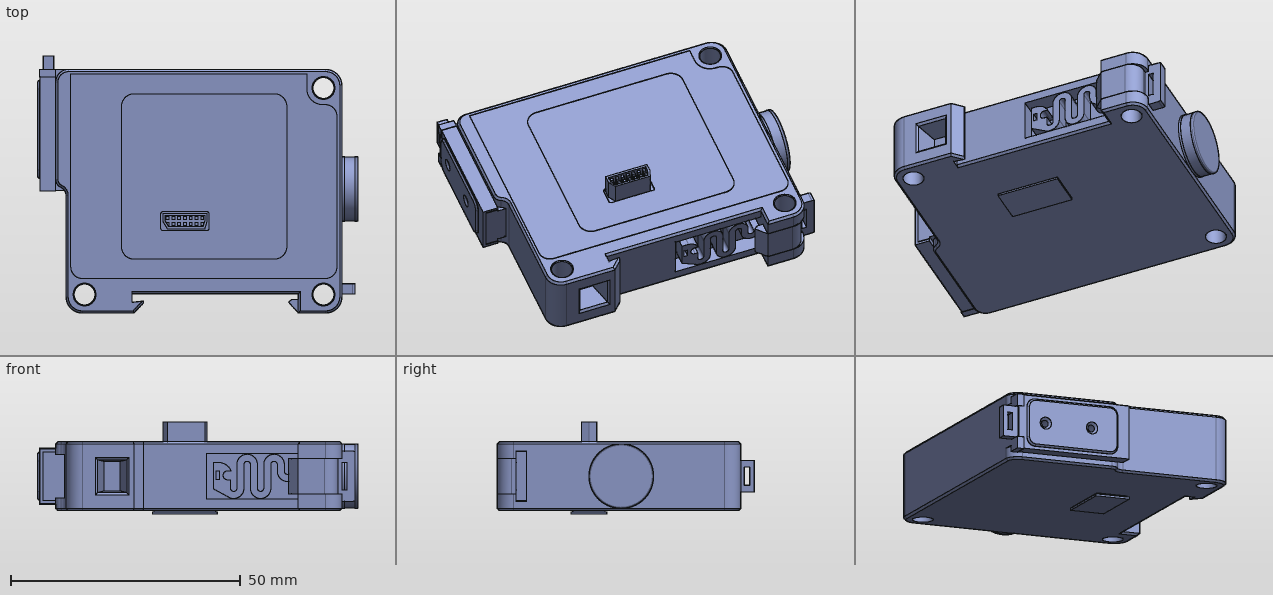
import cadquery as cq
import math

HOUSING_LENGTH = 60.1
HOUSING_WIDTH = 53.05
HOUSING_HEIGHT = 15.0
MID_HEIGHT = HOUSING_HEIGHT / 2
CORNER_RADIUS = 3.55
EDGE_CHAMFER = 0.5

CHANNEL_LEFT = 14.4
CHANNEL_RIGHT = 50.55
CHANNEL_DEPTH = 4.2
HOOK_TIP_X = 16.9
HOOK_BASE_X = 14.8
HOOK_TIP_Y = 2.15
HOOK_TOP_Y = 2.65
HOOK_ROOT_Y = 2.4

HOLE_DIAMETER = 4.55
HOLE_INSET = 4.05
HOLE_CHAMFER = 0.2
HOLE_CHAMFER_ANGLE = 45

RECESS_DEPTH = 0.15
LID_LEFT = 1.05
LID_RIGHT = 59.0
LID_FRONT = 7.55
LID_BACK = 52.0
LID_CORNER_RADIUS = 2.5
LID_NOTCH_LEFT = 52.4
LID_NOTCH_FRONT = 45.4
LID_NOTCH_RADIUS = 3.5
LABEL_SIZE = 36.0
LABEL_CENTER = (30.1, 29.7)
LABEL_RADIUS = 2.8

HEADER_LEFT = 21.1
HEADER_RIGHT = 30.7
HEADER_FRONT = 18.35
HEADER_BACK = 21.7
HEADER_TOP = 19.3
HEADER_BEVEL_Y = 19.95
HEADER_BEVEL_LEFT = 1.0
HEADER_BEVEL_RIGHT = 0.5
HEADER_WALL = 0.5
HEADER_CAVITY_DEPTH = 2.1
HEADER_OPENING = (10.55, 4.1)
HEADER_OPENING_DEPTH = 0.7
CONTACT_COLUMNS = 7
CONTACT_ROWS = 2
CONTACT_PITCH = 1.25
CONTACT_SIZE = 0.6
CONTACT_SETBACK = 0.2

LIP_REACH = 2.2
LIP_GAP_FLOOR = 1.05
LIP_THICKNESS = 2.8
LIP_FRONT = 25.6
LIP_RISE = 3.5
LIP_CORNER_RADIUS = 2.8
BLOCK_LEFT = -5.65
BLOCK_ROOT = 1.4
BLOCK_FRONT = 26.5
BLOCK_BACK = 51.45
BLOCK_HEIGHT = 11.95
BLOCK_PANEL_BORDER = 0.7
BLOCK_PANEL_DEPTH = 0.15
PAD_THICKNESS = 0.55
PAD_LENGTH = 21.5
PAD_HEIGHT = 10.6
PAD_CENTER_Y = 40.0
PAD_RADIUS = 1.95
PAD_CHAMFER = 0.4
TERMINAL_Y = (35.5, 46.5)
TERMINAL_DIAMETER = 1.55
TERMINAL_COUNTERSINK = 2.65
TERMINAL_SINK_ANGLE = 90
TERMINAL_DEPTH = 3.5

END_PLATE_MARGIN = 0.15
TAB_NOTCH_DEPTH = 0.5
TAB_HEIGHT = 6.9
TAB_LEFT = -4.95
TAB_RIGHT = -2.65
TAB_BACK = 56.0
TAB_WINDOW_LENGTH = 1.1
TAB_WINDOW_HEIGHT = 3.9
TAB_WINDOW_Y = 54.4

SOCKET_CENTER_X = 10.05
SOCKET_MOUTH = (7.25, 8.25)
SOCKET_THROAT = (6.4, 7.1)
SOCKET_FLOOR = (3.5, 6.4)
SOCKET_MOUTH_DEPTH = 0.4
SOCKET_DEPTH = 5.6

POCKET_LEFT = 30.6
POCKET_HEIGHT = 10.0
POCKET_DEPTH = 3.5
FOOT_HEIGHT = 7.7
FOOT_RIGHT = 59.25
FOOT_CORNER_RADIUS = 3.0
FOOT_SETBACK = 0.1
FOOT_TIP_X = 48.45
FOOT_TIP_Y = 2.4
FOOT_BEVEL_X = 49.15
FOOT_BEVEL_Y = 3.0
FOOT_GRIP_FRONT = 4.1
FOOT_GRIP_BACK = 6.4
FOOT_GRIP_RIGHT = 62.95
FOOT_GRIP_HEIGHT = 10.95
FOOT_GRIP_BEVEL_RUN = 0.55
FOOT_GRIP_BEVEL_DROP = 0.15
FOOT_SLOT_RIGHT = 61.15
FOOT_SLOT_HEIGHT = 5.9

SPRING_THICKNESS = 1.55
SPRING_FIRST_LEG_X = 38.0
SPRING_LEGS = 4
SPRING_PITCH = 2.9
SPRING_LEG_BOTTOM = 4.9
SPRING_LEG_TOP = 10.05
SPRING_END_Z = 8.6
ANCHOR_LEFT = 32.1
ANCHOR_TOP = 10.5
ANCHOR_BOTTOM = 4.75
ANCHOR_SLOPE = 25
ANCHOR_HOOK_X = 35.95
ANCHOR_HOOK_Z = 8.65
ANCHOR_MOUTH_DIAMETER = 1.95
ANCHOR_MOUTH_X = 35.2
ANCHOR_SLOT_X = 33.0
ANCHOR_SLOT_SIZE = (0.8, 1.8)

KNOB_DIAMETER = 14.1
KNOB_LENGTH = 3.5
KNOB_CENTER_Y = 27.0
KNOB_RIM_RADIUS = 0.3
KNOB_BAND_START = 0.5
KNOB_BAND_END = 2.8
KNOB_BAND_DEPTH = 0.1

BOTTOM_PLATE_SIZE = (14.2, 7.8)
BOTTOM_PLATE_CENTER = (25.9, 19.95)
BOTTOM_PLATE_DROP = 0.8
BOTTOM_PLATE_THICKNESS = 0.5
BOTTOM_PLATE_NECK_INSET = 0.35

OVERLAP = 0.35


def box(x0, x1, y0, y1, z0, z1):
    """Axis-aligned box between opposite corners."""
    return cq.Workplane("XY").box(x1 - x0, y1 - y0, z1 - z0, centered=False).translate((x0, y0, z0))


def mid_box(x0, x1, y0, y1, height):
    """Box of the given height, centred on the housing's mid height."""
    return box(x0, x1, y0, y1, MID_HEIGHT - height / 2, MID_HEIGHT + height / 2)


def housing():
    """Main case with the rail channel and the lips around the terminal block."""
    body = (
        cq.Workplane("XY")
        .moveTo(0, 0)
        .lineTo(HOOK_BASE_X, 0)
        .lineTo(HOOK_TIP_X, HOOK_TIP_Y)
        .lineTo(HOOK_TIP_X, HOOK_TOP_Y)
        .lineTo(CHANNEL_LEFT, HOOK_ROOT_Y)
        .lineTo(CHANNEL_LEFT, CHANNEL_DEPTH)
        .lineTo(CHANNEL_RIGHT, CHANNEL_DEPTH)
        .lineTo(CHANNEL_RIGHT, 0)
        .lineTo(HOUSING_LENGTH, 0)
        .lineTo(HOUSING_LENGTH, HOUSING_WIDTH)
        .lineTo(-LIP_REACH, HOUSING_WIDTH)
        .lineTo(-LIP_REACH, LIP_FRONT + LIP_RISE)
        .tangentArcPoint((LIP_REACH / 2, -LIP_RISE / 2))
        .tangentArcPoint((LIP_REACH / 2, -LIP_RISE / 2))
        .close()
        .extrude(HOUSING_HEIGHT)
    )
    for x, y in ((0, 0), (HOUSING_LENGTH, 0), (HOUSING_LENGTH, HOUSING_WIDTH)):
        body = body.edges(cq.selectors.NearestToPointSelector((x, y, MID_HEIGHT))).fillet(CORNER_RADIUS)
    lip_corner = (-LIP_REACH, HOUSING_WIDTH, MID_HEIGHT)
    body = body.edges(cq.selectors.NearestToPointSelector(lip_corner)).fillet(LIP_CORNER_RADIUS)
    hook_end = cq.selectors.BoxSelector(
        (CHANNEL_LEFT - OVERLAP, HOOK_TIP_Y, -OVERLAP),
        (HOOK_TIP_X + OVERLAP, CHANNEL_DEPTH - OVERLAP, HOUSING_HEIGHT + OVERLAP),
    )
    rims = body.faces("<Z or >Z").edges()
    sharp = rims.edges(hook_end).vals()
    body = body.newObject([edge for edge in rims.vals() if edge not in sharp]).chamfer(EDGE_CHAMFER)
    lip_gap = mid_box(-LIP_REACH, -LIP_GAP_FLOOR, 0, HOUSING_WIDTH, HOUSING_HEIGHT - 2 * LIP_THICKNESS)
    return body.cut(lip_gap)


def cut_top_recesses(body):
    """Lid recess around the rear right hole and the rounded label recess inside it."""
    lid = (
        cq.Workplane("XY", origin=(0, 0, HOUSING_HEIGHT - RECESS_DEPTH))
        .moveTo(LID_LEFT, LID_BACK)
        .lineTo(LID_NOTCH_LEFT, LID_BACK)
        .lineTo(LID_NOTCH_LEFT, LID_NOTCH_FRONT)
        .lineTo(LID_RIGHT, LID_NOTCH_FRONT)
        .lineTo(LID_RIGHT, LID_FRONT)
        .lineTo(LID_LEFT, LID_FRONT)
        .close()
        .extrude(RECESS_DEPTH)
    )
    notch_corner = (LID_NOTCH_LEFT, LID_NOTCH_FRONT, HOUSING_HEIGHT)
    lid = lid.edges("|Z").edges(cq.selectors.NearestToPointSelector(notch_corner)).fillet(LID_NOTCH_RADIUS)
    for x, y in ((LID_RIGHT, LID_NOTCH_FRONT), (LID_RIGHT, LID_FRONT), (LID_LEFT, LID_FRONT)):
        corner = cq.selectors.NearestToPointSelector((x, y, HOUSING_HEIGHT))
        lid = lid.edges("|Z").edges(corner).fillet(LID_CORNER_RADIUS)
    label = (
        cq.Workplane("XY", origin=(*LABEL_CENTER, HOUSING_HEIGHT - 2 * RECESS_DEPTH))
        .rect(LABEL_SIZE, LABEL_SIZE)
        .extrude(RECESS_DEPTH)
        .edges("|Z")
        .fillet(LABEL_RADIUS)
    )
    return body.cut(lid).cut(label)


def mounting_holes():
    """Cutters for the through holes, widened by a small chamfer at the top."""
    right = HOUSING_LENGTH - HOLE_INSET
    points = ((HOLE_INSET, HOLE_INSET), (right, HOLE_INSET), (right, HOUSING_WIDTH - HOLE_INSET))
    bore = cq.Workplane("XY").pushPoints(points).circle(HOLE_DIAMETER / 2).extrude(HOUSING_HEIGHT)
    rim = (
        cq.Workplane("XY", origin=(0, 0, HOUSING_HEIGHT))
        .pushPoints(points)
        .circle(HOLE_DIAMETER / 2 + HOLE_CHAMFER)
        .extrude(-HOLE_CHAMFER, taper=HOLE_CHAMFER_ANGLE)
    )
    return bore.union(rim)


def header_outline(z):
    """Header outline at height z, with its two front corners bevelled."""
    return (
        cq.Workplane("XY", origin=(0, 0, z))
        .moveTo(HEADER_LEFT, HEADER_BACK)
        .lineTo(HEADER_RIGHT, HEADER_BACK)
        .lineTo(HEADER_RIGHT, HEADER_BEVEL_Y)
        .lineTo(HEADER_RIGHT - HEADER_BEVEL_RIGHT, HEADER_FRONT)
        .lineTo(HEADER_LEFT + HEADER_BEVEL_LEFT, HEADER_FRONT)
        .lineTo(HEADER_LEFT, HEADER_BEVEL_Y)
        .close()
    )


def add_header(body):
    """Open-topped header with two rows of contacts, standing in a shallow opening."""
    center_x = (HEADER_LEFT + HEADER_RIGHT) / 2
    center_y = (HEADER_FRONT + HEADER_BACK) / 2
    floor = HOUSING_HEIGHT - HEADER_OPENING_DEPTH
    opening = (
        cq.Workplane("XY", origin=(center_x, center_y, floor))
        .rect(*HEADER_OPENING)
        .extrude(HEADER_OPENING_DEPTH)
        .edges("|Z")
        .fillet(HEADER_WALL)
    )
    shell = header_outline(floor - OVERLAP).extrude(HEADER_TOP - floor + OVERLAP)
    cavity = header_outline(HEADER_TOP).offset2D(-HEADER_WALL).extrude(-HEADER_CAVITY_DEPTH)
    contacts = (
        cq.Workplane("XY", origin=(center_x, center_y, HEADER_TOP - HEADER_CAVITY_DEPTH - OVERLAP))
        .rarray(CONTACT_PITCH, CONTACT_PITCH, CONTACT_COLUMNS, CONTACT_ROWS)
        .rect(CONTACT_SIZE, CONTACT_SIZE)
        .extrude(HEADER_CAVITY_DEPTH + OVERLAP - CONTACT_SETBACK)
    )
    return body.cut(opening).union(shell.cut(cavity)).union(contacts)


def terminal_block():
    """Block with a raised pad, two terminals and a framed front end."""
    block = mid_box(BLOCK_LEFT, -LIP_REACH, BLOCK_FRONT, BLOCK_BACK, BLOCK_HEIGHT)
    root_height = HOUSING_HEIGHT - 2 * LIP_THICKNESS
    block = block.union(
        mid_box(
            -LIP_REACH,
            BLOCK_ROOT,
            BLOCK_FRONT + BLOCK_PANEL_DEPTH,
            BLOCK_BACK,
            root_height,
        )
    )
    panel = mid_box(
        BLOCK_LEFT + BLOCK_PANEL_BORDER,
        -LIP_REACH,
        BLOCK_FRONT,
        BLOCK_FRONT + BLOCK_PANEL_DEPTH,
        BLOCK_HEIGHT - 2 * BLOCK_PANEL_BORDER,
    )
    pad = (
        cq.Workplane("YZ", origin=(BLOCK_LEFT, PAD_CENTER_Y, MID_HEIGHT))
        .rect(PAD_LENGTH, PAD_HEIGHT)
        .extrude(-PAD_THICKNESS)
        .edges("|X")
        .fillet(PAD_RADIUS)
        .faces("<X")
        .edges()
        .chamfer(PAD_CHAMFER)
    )
    block = block.cut(panel).union(pad)
    for y in TERMINAL_Y:
        block = (
            block.faces("<X")
            .workplane(origin=(BLOCK_LEFT - PAD_THICKNESS, y, MID_HEIGHT))
            .cskHole(TERMINAL_DIAMETER, TERMINAL_COUNTERSINK, TERMINAL_SINK_ANGLE, TERMINAL_DEPTH)
        )
    return block


def pull_tab():
    """End plate behind the terminal block, with a windowed tab set in its notch."""
    plate = mid_box(
        BLOCK_LEFT - END_PLATE_MARGIN,
        -LIP_REACH,
        BLOCK_BACK,
        HOUSING_WIDTH,
        BLOCK_HEIGHT + 2 * END_PLATE_MARGIN,
    )
    plate = plate.union(
        mid_box(-LIP_REACH, BLOCK_ROOT, BLOCK_BACK, HOUSING_WIDTH, HOUSING_HEIGHT - 2 * LIP_THICKNESS)
    )
    notch_front = HOUSING_WIDTH - TAB_NOTCH_DEPTH
    notch = mid_box(BLOCK_LEFT - END_PLATE_MARGIN, TAB_LEFT, notch_front, HOUSING_WIDTH, TAB_HEIGHT)
    face_relief = mid_box(BLOCK_LEFT - END_PLATE_MARGIN, BLOCK_LEFT, BLOCK_BACK, HOUSING_WIDTH, TAB_HEIGHT)
    tab = mid_box(TAB_LEFT, TAB_RIGHT, BLOCK_BACK, TAB_BACK, TAB_HEIGHT)
    window = mid_box(
        TAB_LEFT,
        TAB_RIGHT,
        TAB_WINDOW_Y - TAB_WINDOW_LENGTH / 2,
        TAB_WINDOW_Y + TAB_WINDOW_LENGTH / 2,
        TAB_WINDOW_HEIGHT,
    )
    return plate.cut(notch).cut(face_relief).union(tab.cut(window))


def socket():
    """Cutter for the socket in the left foot: a bevelled mouth leading into a taper."""
    plane = cq.Workplane("XZ", origin=(SOCKET_CENTER_X, 0, MID_HEIGHT))
    mouth = (
        plane.rect(*SOCKET_MOUTH)
        .workplane(offset=-SOCKET_MOUTH_DEPTH)
        .rect(*SOCKET_THROAT)
        .loft(ruled=True)
    )
    taper = (
        plane.workplane(offset=-SOCKET_MOUTH_DEPTH)
        .rect(*SOCKET_THROAT)
        .workplane(offset=SOCKET_MOUTH_DEPTH - SOCKET_DEPTH)
        .rect(*SOCKET_FLOOR)
        .loft(ruled=True)
    )
    return mouth.union(taper)


def spring():
    """Flat serpentine spring with its anchor, lying in the front pocket."""
    mid_radius = SPRING_PITCH / 2
    inner = mid_radius - SPRING_THICKNESS / 2
    outer = mid_radius + SPRING_THICKNESS / 2
    plane = cq.Workplane("XZ", origin=(0, CHANNEL_DEPTH + POCKET_DEPTH + OVERLAP, 0))
    length = POCKET_DEPTH + OVERLAP

    def bar(center_x, bottom, top):
        center = (center_x, (bottom + top) / 2)
        return plane.center(*center).rect(SPRING_THICKNESS, top - bottom).extrude(length)

    def bend(center_x, center_z, upward):
        ring = plane.center(center_x, center_z).circle(outer).circle(inner).extrude(length)
        side = outer / 2 if upward else -outer / 2
        half = plane.center(center_x, center_z + side).rect(2 * outer, outer).extrude(length)
        return ring.intersect(half)

    legs = [SPRING_FIRST_LEG_X + SPRING_PITCH * i for i in range(SPRING_LEGS)]
    body = bar(legs[0], SPRING_LEG_BOTTOM, SPRING_LEG_TOP)
    for x in legs[1:-1]:
        body = body.union(bar(x, SPRING_LEG_BOTTOM, SPRING_LEG_TOP))
    body = body.union(bar(legs[-1], SPRING_END_Z, SPRING_LEG_TOP))
    for i, z in enumerate((SPRING_LEG_TOP, SPRING_LEG_BOTTOM, SPRING_LEG_TOP)):
        body = body.union(bend(legs[i] + mid_radius, z, i % 2 == 0))
    body = body.union(bend(legs[0] - mid_radius, SPRING_LEG_BOTTOM, False))
    body = body.union(bend(legs[-1] + mid_radius, SPRING_END_Z, False))

    bend_x = legs[0] - mid_radius
    slope = math.radians(ANCHOR_SLOPE)
    tangent_x = bend_x - outer * math.sin(slope)
    tangent_z = SPRING_LEG_BOTTOM - outer * math.cos(slope)
    anchor = (
        plane.moveTo(ANCHOR_LEFT, ANCHOR_BOTTOM)
        .lineTo(ANCHOR_LEFT, ANCHOR_TOP)
        .lineTo(ANCHOR_LEFT + SPRING_THICKNESS, ANCHOR_TOP)
        .radiusArc((ANCHOR_HOOK_X, ANCHOR_HOOK_Z), 2 * SPRING_THICKNESS)
        .lineTo(ANCHOR_HOOK_X, ANCHOR_HOOK_Z - ANCHOR_MOUTH_DIAMETER)
        .lineTo(bend_x - inner, ANCHOR_HOOK_Z - ANCHOR_MOUTH_DIAMETER)
        .lineTo(bend_x - inner, SPRING_LEG_BOTTOM)
        .lineTo(tangent_x, tangent_z)
        .close()
        .extrude(length)
    )
    mouth_z = ANCHOR_HOOK_Z - ANCHOR_MOUTH_DIAMETER / 2
    mouth = plane.center(ANCHOR_MOUTH_X, mouth_z).circle(ANCHOR_MOUTH_DIAMETER / 2).extrude(length)
    mouth_exit = (
        plane.center(ANCHOR_HOOK_X, mouth_z)
        .rect(2 * (ANCHOR_HOOK_X - ANCHOR_MOUTH_X), ANCHOR_MOUTH_DIAMETER)
        .extrude(length)
    )
    slot = plane.center(ANCHOR_SLOT_X, mouth_z).rect(*ANCHOR_SLOT_SIZE).extrude(length)
    return body.union(anchor.cut(mouth).cut(mouth_exit).cut(slot))


def sliding_foot():
    """Movable rail foot with its hook and the grip standing out of the right wall."""
    foot = (
        cq.Workplane("XY", origin=(0, 0, MID_HEIGHT - FOOT_HEIGHT / 2))
        .moveTo(CHANNEL_RIGHT, FOOT_SETBACK)
        .lineTo(FOOT_RIGHT, FOOT_SETBACK)
        .lineTo(FOOT_RIGHT, FOOT_GRIP_BACK)
        .lineTo(CHANNEL_RIGHT, FOOT_GRIP_BACK)
        .lineTo(CHANNEL_RIGHT, FOOT_BEVEL_Y)
        .lineTo(FOOT_BEVEL_X, FOOT_BEVEL_Y)
        .lineTo(FOOT_TIP_X, FOOT_TIP_Y)
        .close()
        .extrude(FOOT_HEIGHT)
    )
    outer_corner = cq.selectors.NearestToPointSelector((FOOT_RIGHT, FOOT_SETBACK, MID_HEIGHT))
    foot = foot.edges("|Z").edges(outer_corner).fillet(FOOT_CORNER_RADIUS)
    grip = mid_box(FOOT_RIGHT, FOOT_GRIP_RIGHT, FOOT_GRIP_FRONT, FOOT_GRIP_BACK, FOOT_GRIP_HEIGHT)
    grip = grip.faces(">X").edges("|Y").chamfer(FOOT_GRIP_BEVEL_DROP, FOOT_GRIP_BEVEL_RUN)
    slot = mid_box(FOOT_RIGHT, FOOT_SLOT_RIGHT, FOOT_GRIP_FRONT, FOOT_GRIP_BACK, FOOT_SLOT_HEIGHT)
    return foot.union(grip.cut(slot))


def foot_clearance():
    """Cutter that makes room for the sliding foot in the right corner."""
    return mid_box(CHANNEL_RIGHT, HOUSING_LENGTH, 0, FOOT_GRIP_FRONT, FOOT_HEIGHT)


def knob():
    """Round knob on the right wall, with a shallow band around it."""
    radius = KNOB_DIAMETER / 2
    plane = cq.Workplane("YZ", origin=(HOUSING_LENGTH, KNOB_CENTER_Y, MID_HEIGHT))
    body = plane.workplane(offset=-OVERLAP).circle(radius).extrude(KNOB_LENGTH + OVERLAP)
    body = body.faces(">X").edges().fillet(KNOB_RIM_RADIUS)
    band = (
        plane.workplane(offset=KNOB_BAND_START)
        .circle(radius)
        .circle(radius - KNOB_BAND_DEPTH)
        .extrude(KNOB_BAND_END - KNOB_BAND_START)
    )
    return body.cut(band)


def bottom_plate():
    """Thin plate hanging on a slightly smaller neck under the housing."""
    base = cq.Workplane("XY", origin=(*BOTTOM_PLATE_CENTER, -BOTTOM_PLATE_DROP))
    plate = base.rect(*BOTTOM_PLATE_SIZE).extrude(BOTTOM_PLATE_THICKNESS)
    neck_size = [side - 2 * BOTTOM_PLATE_NECK_INSET for side in BOTTOM_PLATE_SIZE]
    neck = base.rect(*neck_size).extrude(BOTTOM_PLATE_DROP + OVERLAP)
    return plate.union(neck)


def spring_pocket():
    """Cutter for the pocket in the channel floor that holds the spring."""
    return mid_box(
        POCKET_LEFT, CHANNEL_RIGHT, CHANNEL_DEPTH, CHANNEL_DEPTH + POCKET_DEPTH, POCKET_HEIGHT
    )


result = cut_top_recesses(housing())
result = result.union(terminal_block()).union(pull_tab())
result = result.cut(socket()).cut(spring_pocket()).cut(foot_clearance())
result = result.union(spring()).union(sliding_foot())
result = result.cut(mounting_holes())
result = add_header(result)
result = result.union(knob()).union(bottom_plate())